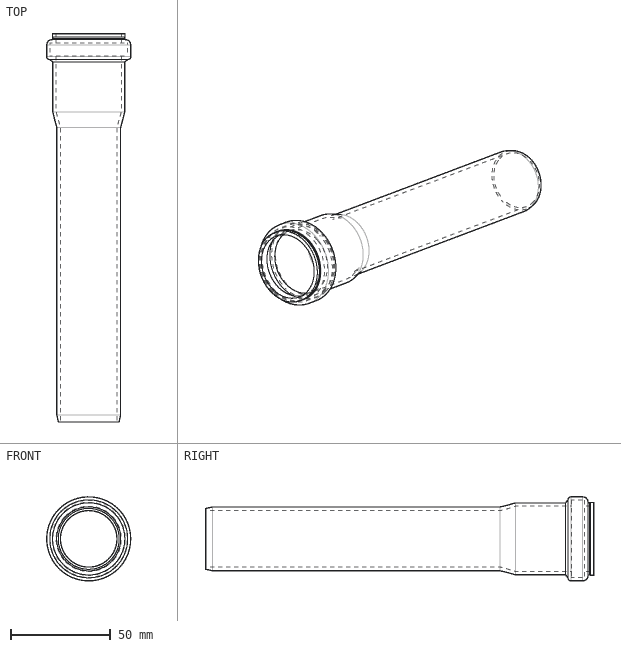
import cadquery as cq

length = 195.0
pipe_diameter = 32.2
pipe_bore = 28.3
tip_chamfer_length = 3.5
tip_chamfer_depth = 0.8

socket_diameter = 36.3
socket_bore = 32.8
socket_depth = 39.4
taper_length = 7.8

bead_diameter = 42.3
groove_diameter = 38.8
lip_diameter = 36.7
lip_length = 1.8
bead_mouth_depth = 3.0
bead_back_depth = 13.0
bead_mouth_radius = 2.7
bead_back_radius = 1.5
root_taper_length = 1.2

pipe_radius = pipe_diameter / 2
pipe_bore_radius = pipe_bore / 2
socket_radius = socket_diameter / 2
socket_bore_radius = socket_bore / 2
bead_radius = bead_diameter / 2
groove_radius = groove_diameter / 2
lip_radius = lip_diameter / 2

tip_y = -length / 2
mouth_y = length / 2
socket_end_y = mouth_y - socket_depth
taper_end_y = socket_end_y - taper_length
bead_back_y = mouth_y - bead_back_depth
bead_mouth_y = mouth_y - bead_mouth_depth
lip_back_y = mouth_y - lip_length
neck_y = (bead_mouth_y + lip_back_y) / 2
wall = bead_radius - groove_radius


def revolve_about_y(profile):
    return profile.close().revolve(360, (0, 0, 0), (0, 1, 0))


def make_outer_body():
    """Solid envelope with a rounded bead, a V-shaped neck behind the lip and a chamfered pipe tip."""
    diagonal = 0.5 ** 0.5
    mouth_arc_x = bead_radius - bead_mouth_radius
    mouth_arc_y = bead_mouth_y - bead_mouth_radius
    back_arc_x = bead_radius - bead_back_radius
    back_arc_y = bead_back_y + bead_back_radius
    root_y = bead_back_y - root_taper_length
    profile = (
        cq.Workplane("XY")
        .moveTo(0, tip_y)
        .lineTo(pipe_radius - tip_chamfer_depth, tip_y)
        .lineTo(pipe_radius, tip_y + tip_chamfer_length)
        .lineTo(pipe_radius, taper_end_y)
        .lineTo(socket_radius, socket_end_y)
        .lineTo(socket_radius, root_y)
        .lineTo(back_arc_x, bead_back_y)
        .threePointArc(
            (back_arc_x + bead_back_radius * diagonal, back_arc_y - bead_back_radius * diagonal),
            (bead_radius, back_arc_y),
        )
        .lineTo(bead_radius, mouth_arc_y)
        .threePointArc(
            (mouth_arc_x + bead_mouth_radius * diagonal, mouth_arc_y + bead_mouth_radius * diagonal),
            (mouth_arc_x, bead_mouth_y),
        )
        .lineTo(lip_radius, bead_mouth_y)
        .lineTo(socket_radius, neck_y)
        .lineTo(lip_radius, lip_back_y)
        .lineTo(lip_radius, mouth_y)
        .lineTo(0, mouth_y)
    )
    return revolve_about_y(profile)


def make_inner_space():
    """Pipe bore, tapered step, socket bore and sealing-ring groove."""
    profile = (
        cq.Workplane("XY")
        .moveTo(0, tip_y)
        .lineTo(pipe_bore_radius, tip_y)
        .lineTo(pipe_bore_radius, taper_end_y)
        .lineTo(socket_bore_radius, socket_end_y)
        .lineTo(socket_bore_radius, bead_back_y + wall)
        .lineTo(groove_radius, bead_back_y + wall)
        .lineTo(groove_radius, bead_mouth_y - wall)
        .lineTo(socket_bore_radius, bead_mouth_y - wall)
        .lineTo(socket_bore_radius, mouth_y)
        .lineTo(0, mouth_y)
    )
    return revolve_about_y(profile)


result = make_outer_body().cut(make_inner_space())